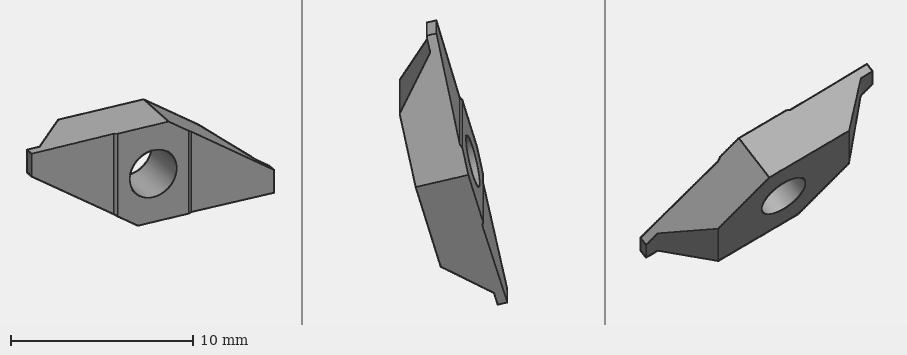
import cadquery as cq
import math

thickness = 3.0
length = 15.0
height = 6.0
hole_diameter = 2.9

apex_offset = 0.95
flank_angle = 35.0

tip_length = 0.78
tip_near_x = 2.39
tip_far_x = 2.95
relief_depth = 0.1
pad_half_length = 2.2
pad_ramp_length = 0.2
shoulder_fillet = 0.05

half_length = length / 2
half_height = height / 2
flank_drop = (half_length - apex_offset) * math.tan(math.radians(flank_angle))
tip_edge_z = half_height - flank_drop


def make_side_body():
    """Hexagonal side outline extruded through the thickness."""
    upper_left = [
        (-half_length, half_height),
        (apex_offset, half_height),
        (half_length, tip_edge_z),
    ]
    lower_right = [(-y, -z) for y, z in upper_left]
    return cq.Workplane("YZ").polyline(upper_left + lower_right).close().extrude(thickness)


def make_plan_body():
    """Plan outline with 45 degree shoulders, narrow tips and a raised pad on the +X face."""
    tip_root_y = half_length - tip_length
    shoulder_y = tip_root_y - tip_near_x
    back_half = [
        (thickness, pad_half_length),
        (thickness - relief_depth, pad_half_length + pad_ramp_length),
        (tip_far_x, half_length),
        (tip_near_x, half_length),
        (tip_near_x, tip_root_y),
        (0, shoulder_y),
    ]
    front_half = [(x, -y) for x, y in reversed(back_half)]
    outline = cq.Workplane("XY").polyline(back_half + front_half).close()
    body = outline.extrude(half_height, both=True)
    for side in (-1, 1):
        root = cq.selectors.NearestToPointSelector((tip_near_x, side * tip_root_y, 0))
        body = body.edges("|Z").edges(root).fillet(shoulder_fillet)
    return body


def make_hole():
    """Screw hole through the thickness."""
    return cq.Workplane("YZ").circle(hole_diameter / 2).extrude(thickness)


result = make_side_body().intersect(make_plan_body()).cut(make_hole())